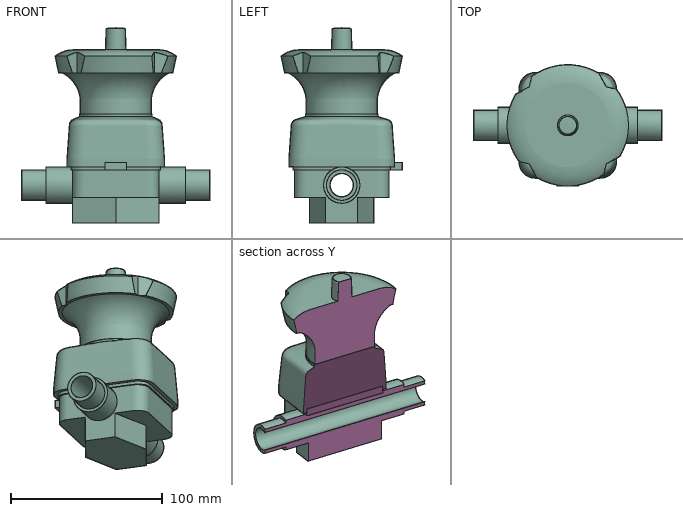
import cadquery as cq
import math

foot_top_z = 16.7
port_axis_z = 25.0
body_top_z = 34.8
bonnet_bottom_z = 36.9
diaphragm_top_z = 40.0
lip_top_z = 41.9
shoulder_z = 67.2
collar_bottom_z = 70.0
collar_top_z = 71.7
neck_top_z = 81.9
rim_bottom_z = 98.9
rim_edge_z = 109.8
wheel_top_z = 114.2
pin_side_top_z = 127.1
pin_edge_z = 128.2
pin_top_z = 128.5

lip_half_x = 32.1
lip_half_y = 34.8
bonnet_corner_r = 10.9
bonnet_draft = 4.0
shoulder_fillet_r = 4.2
edge_margin = 0.1
collar_r = 23.9
roof_angle_side = 36.6
roof_angle_end = 61.7

bonnet_wall = 2.7
diaphragm_half_x = lip_half_x - bonnet_wall
diaphragm_half_y = lip_half_y - bonnet_wall
diaphragm_corner_r = bonnet_corner_r - bonnet_wall
tab_width = 14.4
tab_reach = 40.0

body_inset = 0.9
body_half_x = diaphragm_half_x - body_inset
body_half_y = diaphragm_half_y - body_inset
body_corner_r = 8.1
foot_side_half_y = 10.5
foot_point_y = 21.2
port_span = 124.0
port_end_x = port_span / 2
port_step_x = 46.0
port_r = 10.0
port_collar_r = 12.0
bore_r = 7.6

neck_r = 23.5
flare_mid_r = 26.9
flare_mid_z = 91.4
flare_top_r = 35.4
rim_bottom_r = 37.7
rim_r = 40.0
flat_top_r = 27.8
pin_base_r = 6.8
pin_side_top_r = 6.4
pin_edge_r = 5.8
notch_count = 4
notch_root_r = 35.9
notch_root_angle = 45.0
notch_back_angle = 8.5
notch_ahead_angle = 14.2
notch_overrun = 2.0


def polar(radius, angle):
    a = math.radians(angle)
    return (radius * math.cos(a), radius * math.sin(a))


def rounded_block(half_x, half_y, corner_r, bottom_z, top_z):
    block = cq.Workplane("XY").workplane(offset=bottom_z).rect(2 * half_x, 2 * half_y)
    return block.extrude(top_z - bottom_z).edges("|Z").fillet(corner_r)


def rounded_rectangle_wire(half_x, half_y, corner_r, z):
    """Rounded rectangle of four sides and four corner arcs, starting on the +X side."""
    x, y = half_x - corner_r, half_y - corner_r
    mid = corner_r * math.sqrt(0.5)
    outline = cq.Workplane("XY").workplane(offset=z).moveTo(half_x, -y).lineTo(half_x, y)
    outline = outline.threePointArc((x + mid, y + mid), (x, half_y)).lineTo(-x, half_y)
    outline = outline.threePointArc((-x - mid, y + mid), (-half_x, y)).lineTo(-half_x, -y)
    outline = outline.threePointArc((-x - mid, -y - mid), (-x, -half_y)).lineTo(x, -half_y)
    return outline.threePointArc((x + mid, -y - mid), (half_x, -y)).close().val()


def collar_wire(z):
    """Collar circle cut into eight arcs that pair with the sides of the rounded rectangle."""
    a, b = roof_angle_side, roof_angle_end
    ends = [a, b, 180 - b, 180 - a, 180 + a, 180 + b, 360 - b, 360 - a]
    outline = cq.Workplane("XY").workplane(offset=z).moveTo(*polar(collar_r, -a))
    start = -a
    for end in ends:
        outline = outline.threePointArc(polar(collar_r, (start + end) / 2), polar(collar_r, end))
        start = end
    return outline.close().val()


def make_body(diaphragm):
    block = rounded_block(body_half_x, body_half_y, body_corner_r, foot_top_z, body_top_z)
    foot_points = [
        (body_half_x, -foot_side_half_y),
        (body_half_x, foot_side_half_y),
        (0, foot_point_y),
        (-body_half_x, foot_side_half_y),
        (-body_half_x, -foot_side_half_y),
        (0, -foot_point_y),
    ]
    foot = cq.Workplane("XY").polyline(foot_points).close().extrude(foot_top_z)
    port_plane = cq.Workplane("YZ").center(0, port_axis_z)
    port_collars = port_plane.circle(port_collar_r).extrude(port_step_x, both=True)
    ports = port_plane.circle(port_r).extrude(port_end_x, both=True)
    bore = port_plane.circle(bore_r).extrude(port_end_x, both=True)
    body = block.union(foot).union(port_collars).union(ports).cut(bore)
    return body.cut(diaphragm)


def make_diaphragm():
    plate = rounded_block(
        diaphragm_half_x, diaphragm_half_y, diaphragm_corner_r, body_top_z, diaphragm_top_z
    )
    tab = cq.Workplane("XY").box(
        tab_width, tab_reach, diaphragm_top_z - body_top_z, centered=(True, False, False)
    )
    return plate.union(tab.translate((0, -tab_reach, body_top_z)))


def make_bonnet(diaphragm):
    inset = (shoulder_z - lip_top_z) * math.tan(math.radians(bonnet_draft))
    lip = rounded_block(lip_half_x, lip_half_y, bonnet_corner_r, bonnet_bottom_z, lip_top_z)
    lip_outline = rounded_rectangle_wire(lip_half_x, lip_half_y, bonnet_corner_r, lip_top_z)
    shoulder = rounded_rectangle_wire(
        lip_half_x - inset, lip_half_y - inset, bonnet_corner_r, shoulder_z
    )
    cover = cq.Workplane(cq.Solid.makeLoft([lip_outline, shoulder], True))
    roof = cq.Workplane(cq.Solid.makeLoft([shoulder, collar_wire(collar_bottom_z)], True))
    cover = cover.union(roof)
    shoulder_zone = cq.selectors.BoxSelector(
        (-lip_half_x, -lip_half_y, shoulder_z - edge_margin),
        (lip_half_x, lip_half_y, shoulder_z + edge_margin),
    )
    cover = cover.edges(shoulder_zone).fillet(shoulder_fillet_r)
    collar = cq.Workplane("XY").workplane(offset=collar_bottom_z).circle(collar_r)
    collar = collar.extrude(collar_top_z - collar_bottom_z)
    return lip.union(cover).union(collar).cut(diaphragm)


def dome_mid(edge, crown):
    """Midpoint of the arc that rises from the edge and arrives level at the crown."""
    run = edge[0] - crown[0]
    rise = crown[1] - edge[1]
    radius = (run**2 + rise**2) / (2 * rise)
    half_turn = math.asin(run / radius) / 2
    return (
        crown[0] + radius * math.sin(half_turn),
        crown[1] - radius * (1 - math.cos(half_turn)),
    )


def make_handwheel():
    rim_edge = (rim_r, rim_edge_z)
    flat_edge = (flat_top_r, wheel_top_z)
    pin_edge = (pin_edge_r, pin_edge_z)
    pin_crown = (0, pin_top_z)
    profile = (
        cq.Workplane("XZ")
        .moveTo(0, collar_top_z)
        .lineTo(neck_r, collar_top_z)
        .lineTo(neck_r, neck_top_z)
        .threePointArc((flare_mid_r, flare_mid_z), (flare_top_r, rim_bottom_z))
        .lineTo(rim_bottom_r, rim_bottom_z)
        .lineTo(*rim_edge)
        .threePointArc(dome_mid(rim_edge, flat_edge), flat_edge)
        .lineTo(pin_base_r, wheel_top_z)
        .lineTo(pin_side_top_r, pin_side_top_z)
        .tangentArcPoint(pin_edge, relative=False)
        .threePointArc(dome_mid(pin_edge, pin_crown), pin_crown)
        .close()
    )
    wheel = profile.revolve(360, (0, 0, 0), (0, 1, 0))
    root = polar(notch_root_r, notch_root_angle)
    sides = []
    for turn in (-notch_back_angle, notch_ahead_angle):
        rim_end = polar(rim_r, notch_root_angle + turn)
        sides.append(tuple(r + notch_overrun * (e - r) for r, e in zip(root, rim_end)))
    notch = cq.Workplane("XY").workplane(offset=rim_bottom_z).polyline([root, *sides]).close()
    notch = notch.extrude(wheel_top_z - rim_bottom_z)
    for i in range(notch_count):
        wheel = wheel.cut(notch.rotate((0, 0, 0), (0, 0, 1), i * 360 / notch_count))
    return wheel


diaphragm = make_diaphragm()
body = make_body(diaphragm)
bonnet = make_bonnet(diaphragm)
handwheel = make_handwheel()

result = cq.Compound.makeCompound(
    [body.val(), diaphragm.val(), bonnet.val(), handwheel.val()]
)